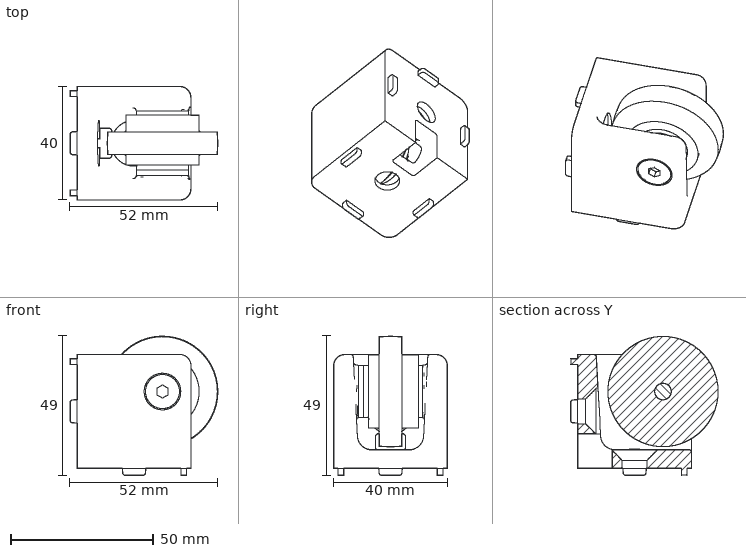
import cadquery as cq
import math

cube = 40.0
outer_round = 4.0

draft = 3.0
opening_width = 26.3
back_wall = 6.55
floor_height = 6.55
cavity_round = 5.0
rim_round = 1.0

notch_depth = 12.1
notch_width = 10.45
notch_round = 0.95

mount_radius = 4.3
mount_sink_radius = 8.05
sink_start = 6.5
sink_end = 8.3

tab_height = 2.5
tab_width = 8.3
tab_taper = 0.15
tab_thickness = 2.1
tab_margin = 1.5
tab_round = 1.0

axle_x = 30.0
axle_z = 27.0
boss_radius = 9.35
boss_face = 11.3
boss_root = 13.8
boss_edge_round = 0.5
boss_root_round = 1.0

screw_radius = 3.0
screw_length = 35.0
head_radius = 6.0
head_land = 0.45
socket_width = 4.0
socket_depth = 2.5

tread_radius = 19.5
crown = 0.2
tread_width = 8.0
hub_radius = 12.9
hub_front = -7.7
hub_back = 9.9
hub_fillet = 0.5

washer_radius = 9.1
front_washer_face = -9.45

middle = cube / 2
half_tread = tread_width / 2
beyond = 5.2


def turned_on_axle(profile):
    """Solid turned about the axle from (radius, y) points."""
    points = [(axle_x + radius, y) for radius, y in profile]
    outline = cq.Workplane("XY", origin=(0, 0, axle_z)).polyline(points).close()
    return outline.revolve(360, (axle_x, 0, 0), (axle_x, 1, 0))


def disc_on_axle(radius, start, end):
    return turned_on_axle([(0, start), (radius, start), (radius, end), (0, end)])


def on_bottom(shape):
    """Mirror a feature of the -X face in the plane X = Z, on to the -Z face."""
    return shape.mirror(cq.Vector(1, 0, -1), (0, 0, 0))


def cavity():
    length = cube + beyond - back_wall
    block = (
        cq.Workplane("XY", origin=(back_wall + length / 2, 0, cube))
        .rect(length, opening_width)
        .extrude(floor_height - cube, taper=draft)
    )
    back_corners = block.faces("<X").edges("not #Z").edges("not |Y")
    return back_corners.fillet(cavity_round).faces("<Z").edges("not >X").fillet(cavity_round)


def notch():
    block = cq.Workplane("XY").box(2 * notch_depth, notch_width, 2 * notch_depth)
    ends = block.faces(">X or >Z").edges("(>X and |Z) or (>Z and |X)")
    return ends.fillet(notch_round)


def mounting_hole():
    """Hole in the -X face, countersunk from inside and opened out up to the cavity."""
    cone_length = mount_sink_radius - mount_radius
    profile = [
        (0, 0),
        (0, mount_radius),
        (sink_start - cone_length, mount_radius),
        (sink_start, mount_sink_radius),
        (sink_end, mount_sink_radius),
        (sink_end, 0),
    ]
    outline = cq.Workplane("XY", origin=(0, 0, middle)).polyline(profile).close()
    return outline.revolve(360, (0, 0, 0), (1, 0, 0))


def tab():
    """Upright tab on the -X face, centred on the X axis and long in Z."""
    base = tab_width / 2
    tip = base - tab_taper
    outline = [(0, -base), (0, base), (-tab_height, tip), (-tab_height, -tip)]
    plate = cq.Workplane("XZ").polyline(outline).close().extrude(tab_thickness / 2, both=True)
    return plate.edges("<X and |Y").fillet(tab_round)


def face_tabs():
    """The three tabs of the -X face."""
    edge_distance = middle - tab_margin - tab_thickness / 2
    upright = [tab().translate((0, side * edge_distance, middle)) for side in (-1, 1)]
    level = tab().rotate((0, 0, 0), (1, 0, 0), 90).translate((0, 0, middle + edge_distance))
    return [*upright, level]


def make_screw():
    head_top = -middle
    cone_start = head_top + head_land
    cone_end = cone_start + head_radius - screw_radius
    tip = head_top + screw_length
    blank = turned_on_axle([
        (0, head_top),
        (head_radius, head_top),
        (head_radius, cone_start),
        (screw_radius, cone_end),
        (screw_radius, tip),
        (0, tip),
    ])
    socket = (
        cq.Workplane("XZ", origin=(axle_x, head_top, axle_z))
        .polygon(6, socket_width / math.cos(math.pi / 6))
        .extrude(-socket_depth)
        .rotate((axle_x, 0, axle_z), (axle_x, 1, axle_z), 30)
    )
    return blank.cut(socket)


def screw_hole():
    """Space for the screw, with the countersink carried on past the head's rim to the -Y face."""
    mouth_radius = head_radius + head_land
    cone_end = mouth_radius - screw_radius - middle
    tip = screw_length - middle
    return turned_on_axle([
        (0, -middle),
        (mouth_radius, -middle),
        (screw_radius, cone_end),
        (screw_radius, tip),
        (0, tip),
    ])


def bosses():
    front = disc_on_axle(boss_radius, -boss_root, -boss_face).faces(">Y").edges().fillet(boss_edge_round)
    back = disc_on_axle(boss_radius, boss_face, boss_root).faces("<Y").edges().fillet(boss_edge_round)
    return front.union(back)


def boss_root_edges(body):
    """Curves where the bosses meet the sloping cavity walls and the rounded rim."""

    def is_root(edge):
        point = edge.positionAt(0.5)
        distance = math.hypot(point.x - axle_x, point.z - axle_z)
        on_boss = math.isclose(distance, boss_radius, abs_tol=0.005)
        return on_boss and edge.geomType() not in ("LINE", "CIRCLE")

    return [edge for edge in body.edges().vals() if is_root(edge)]


def make_housing():
    body = cq.Workplane("XY").box(cube, cube, cube).translate((middle, 0, middle))
    body = body.edges("(|X and >Z) or (|Z and >X) or (|Y and >X and >Z)").fillet(outer_round)
    body = body.cut(cavity())
    rim_edge = cq.selectors.NearestToPointSelector((back_wall, 0, cube))
    body = body.edges(rim_edge).fillet(rim_round)
    body = body.union(bosses())
    body = body.newObject(boss_root_edges(body)).fillet(boss_root_round)
    body = body.cut(notch())
    body = body.cut(mounting_hole()).cut(on_bottom(mounting_hole()))
    for face_tab in face_tabs():
        body = body.union(face_tab).union(on_bottom(face_tab))
    return body.cut(screw_hole())


def make_wheel():
    wheel = turned_on_axle([
        (screw_radius, hub_front),
        (hub_radius, hub_front),
        (hub_radius, -half_tread),
        (tread_radius - crown, -half_tread),
        (tread_radius, 0),
        (tread_radius - crown, half_tread),
        (hub_radius, half_tread),
        (hub_radius, hub_back),
        (screw_radius, hub_back),
    ])
    hub_roots = [
        edge
        for edge in wheel.edges("%CIRCLE").vals()
        if math.isclose(edge.radius(), hub_radius) and math.isclose(abs(edge.Center().y), half_tread)
    ]
    return wheel.newObject(hub_roots).fillet(hub_fillet)


def make_washer(start, end):
    return disc_on_axle(washer_radius, start, end).cut(disc_on_axle(screw_radius, start, end))


washer_spans = [
    (-boss_face, front_washer_face),
    (front_washer_face, hub_front),
    (hub_back, boss_face),
]

housing = make_housing()
screw = make_screw()
wheel = make_wheel()
washers = [make_washer(start, end) for start, end in washer_spans]

result = cq.Compound.makeCompound([
    housing.val(),
    screw.val(),
    wheel.val(),
    *[washer.val() for washer in washers],
])